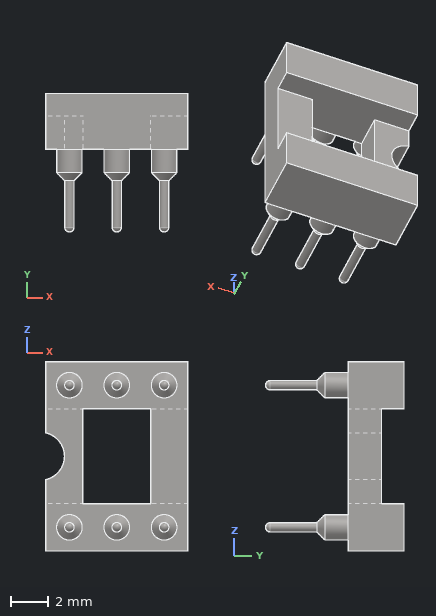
import cadquery as cq
import math

pitch = 2.54
row_spacing = 3 * pitch
pins_per_row = 3

body_width = pins_per_row * pitch
body_height = row_spacing + pitch
body_depth = 3.0

side_wall = 2.0
window_width = body_width - 2 * side_wall
window_height = 2 * pitch
channel_depth = 1.2

notch_depth = 1.0
notch_half_height = 1.25

sleeve_radius = 0.685
sleeve_length = 1.25
tail_radius = 0.255
cone_length = sleeve_radius - tail_radius
pin_length = 4.43


def make_body():
    """Block with a central window and a channel along X in its back face."""
    block = cq.Workplane("XY").box(body_width, body_depth, body_height, centered=(True, False, True))
    window = cq.Workplane("XY").box(window_width, body_depth, window_height, centered=(True, False, True))
    channel = (
        cq.Workplane("XY")
        .box(body_width, channel_depth, window_height, centered=(True, False, True))
        .translate((0, body_depth - channel_depth, 0))
    )
    return block.cut(window).cut(channel)


def make_notch():
    """Circular segment through the full depth at the middle of the -X edge."""
    edge_x = -body_width / 2
    return (
        cq.Workplane("XZ")
        .moveTo(edge_x, -notch_half_height)
        .threePointArc((edge_x + notch_depth, 0), (edge_x, notch_half_height))
        .close()
        .extrude(-body_depth)
    )


def make_pin(x, z):
    """Turned pin revolved about an axis parallel to Y, starting on the pin face."""
    cone_end = sleeve_length + cone_length
    tail_end = pin_length - tail_radius
    mid_tip = tail_radius * math.cos(math.pi / 4)
    return (
        cq.Workplane("XY")
        .lineTo(sleeve_radius, 0)
        .lineTo(sleeve_radius, -sleeve_length)
        .lineTo(tail_radius, -cone_end)
        .lineTo(tail_radius, -tail_end)
        .threePointArc((mid_tip, -tail_end - mid_tip), (0, -pin_length))
        .close()
        .revolve(axisStart=(0, 0, 0), axisEnd=(0, 1, 0))
        .translate((x, 0, z))
    )


result = make_body().cut(make_notch())
for column in range(pins_per_row):
    pin_x = (column - (pins_per_row - 1) / 2) * pitch
    for pin_z in (-row_spacing / 2, row_spacing / 2):
        result = result.union(make_pin(pin_x, pin_z))